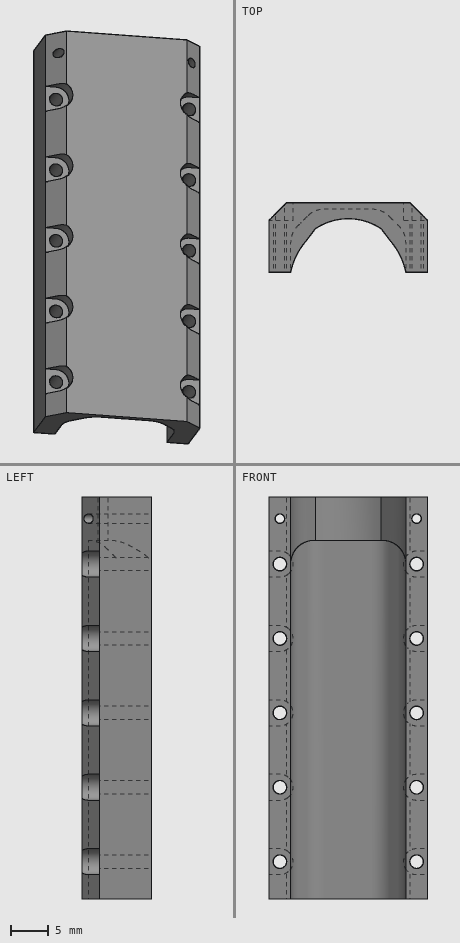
import cadquery as cq
import math

width = 21.4
depth = 9.35
length = 54.15
back_chamfer = 2.4

channel_half_width = 7.75
channel_depth = 8.5
channel_round = 3.15
floor_half_width = 3.25
flank_run = 1.35
top_land = 5.85
channel_length = length - top_land

neck_depth = 7.2
neck_arc_half_width = 4.45
neck_arc_end = 5.85
neck_flat_half_width = 5.6
neck_flat_end = 4.35
neck_side_mid = (6.95, 2.35)
neck_half_width = channel_half_width

hole_x = 9.2
pin_diameter = 1.25
pin_from_top = 2.9
screw_diameter = 1.8
screw_count = 5
screw_pitch = 10.0
first_screw_from_top = 9.05
head_diameter = 3.5
head_seat_y = depth - back_chamfer


def make_body():
    block = cq.Workplane("XY").box(width, depth, length, centered=(True, False, False))
    return block.faces(">Y").edges("|Z").chamfer(back_chamfer)


def make_channel():
    long_leg = channel_round * math.sin(math.pi / 4)
    short_leg = channel_round - long_leg
    flank_x = floor_half_width + long_leg
    flank_y = channel_depth - short_leg
    wall_y = flank_y - flank_run - long_leg
    half = (
        cq.Workplane("XY")
        .lineTo(channel_half_width, 0)
        .lineTo(channel_half_width, wall_y)
        .radiusArc((flank_x + flank_run, flank_y - flank_run), -channel_round)
        .lineTo(flank_x, flank_y)
        .radiusArc((floor_half_width, channel_depth), -channel_round)
        .lineTo(0, channel_depth)
        .close()
        .extrude(channel_length)
    )
    channel = half.union(half.mirror("YZ"))
    rounded_end = (
        cq.Workplane("XY")
        .box(2 * channel_half_width, channel_depth, channel_length, centered=(True, False, False))
        .faces(">Z")
        .edges("|Y")
        .fillet(channel_round)
    )
    return channel.intersect(rounded_end)


def make_neck():
    half = (
        cq.Workplane("XY")
        .lineTo(neck_half_width, 0)
        .threePointArc(neck_side_mid, (neck_flat_half_width, neck_flat_end))
        .lineTo(neck_arc_half_width, neck_arc_end)
        .lineTo(0, neck_arc_end)
        .close()
        .extrude(length)
    )
    crown = (
        cq.Workplane("XY")
        .moveTo(-neck_arc_half_width, neck_arc_end)
        .threePointArc((0, neck_depth), (neck_arc_half_width, neck_arc_end))
        .close()
        .extrude(length)
    )
    return half.union(half.mirror("YZ")).union(crown)


def cylinder_along_y(x, z, diameter, start_y):
    plane = cq.Workplane("XZ", origin=(x, start_y, z))
    return plane.circle(diameter / 2).extrude(start_y - depth)


def head_recess(side, z):
    """Round screw seat that runs out through the chamfer with parallel sides."""
    round_end = cylinder_along_y(side * hole_x, z, head_diameter, head_seat_y)
    run_out = width / 2 - hole_x
    open_side = cq.Workplane("XY").box(run_out, back_chamfer, head_diameter)
    middle = (side * (hole_x + run_out / 2), head_seat_y + back_chamfer / 2, z)
    return round_end.union(open_side.translate(middle))


result = make_body().cut(make_channel()).cut(make_neck())
for side in (-1, 1):
    x = side * hole_x
    result = result.cut(cylinder_along_y(x, length - pin_from_top, pin_diameter, 0))
    for index in range(screw_count):
        z = length - first_screw_from_top - index * screw_pitch
        result = result.cut(cylinder_along_y(x, z, screw_diameter, 0))
        result = result.cut(head_recess(side, z))